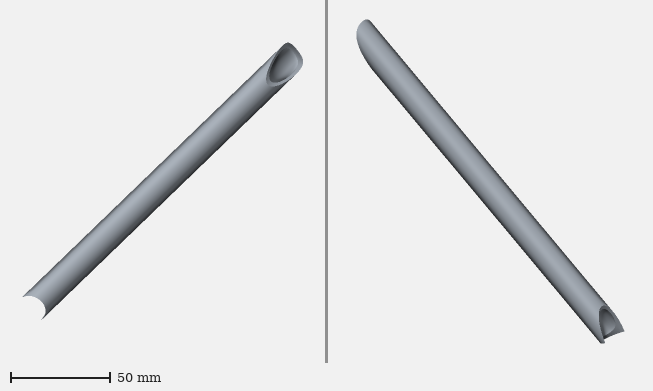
import cadquery as cq
import math

length_y = 188.5
outer_diameter = 15.0
wall = 1.5
cope_radius = 12.5
edge_reach = 86.0
climb_angle = 44.4

outer_radius = outer_diameter / 2
bore_radius = outer_radius - wall
overrun = 56.5
cutter_size = 376.9

cope_center = edge_reach + math.sqrt(cope_radius**2 - outer_radius**2)
cope_bottom = cope_center - cope_radius

tilt = math.atan2(cope_bottom, length_y) + math.asin(
    outer_radius / math.hypot(length_y, cope_bottom)
)


def make_rod(radius, lean, start, end):
    """Round rod along an axis through the origin, leaning from Y toward X."""
    direction = cq.Vector(math.sin(lean), math.cos(lean), 0)
    plane = cq.Plane(origin=direction * start, xDir=(0, 0, 1), normal=direction)
    return cq.Workplane(plane).circle(radius).extrude(end - start)


def make_tube():
    """Straight tube starting at the origin, long enough to pass the far cope."""
    tube_end = length_y + 2 * overrun
    outer = make_rod(outer_radius, tilt, 0, tube_end)
    bore = make_rod(bore_radius, tilt, -overrun, tube_end + overrun)
    return outer.cut(bore)


def make_near_cope():
    """Mirror-image rod of equal diameter; it saddles the near end to two sharp corners."""
    return make_rod(outer_radius, -tilt, -overrun, overrun)


def make_far_cope():
    """Slot with a round bottom, running along Y and open toward +X."""
    bottom = cq.Workplane("XZ").center(cope_center, 0).circle(cope_radius)
    opening = (
        cq.Workplane("XZ")
        .center(cope_center + cutter_size / 2, 0)
        .rect(cutter_size, 2 * cope_radius)
    )
    bottom = bottom.extrude(cutter_size, both=True)
    return bottom.union(opening.extrude(cutter_size, both=True))


tube = make_tube().cut(make_near_cope()).cut(make_far_cope())

result = tube.rotate((0, 0, 0), (0, 1, 0), -climb_angle)